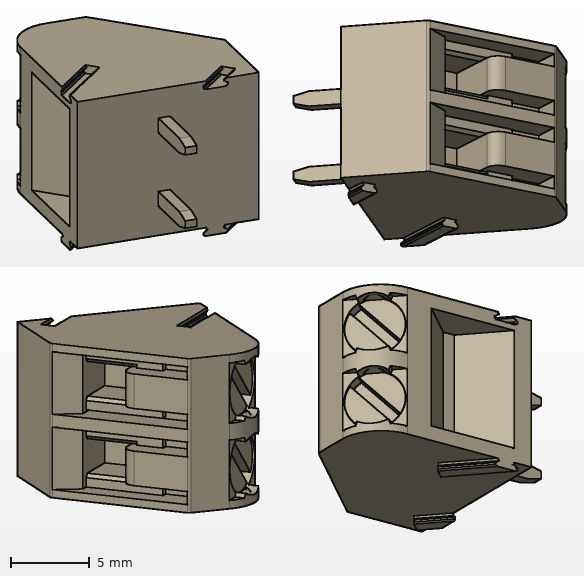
import cadquery as cq
import math


ROOT2 = math.sqrt(2)

side = 12.5
height = 10.17
wire_chamfer = 6.78
corner_radius = 2.95
lip_radius = 0.3

pole_pitch = height / 2
pole_heights = [pole_pitch / 2, 3 * pole_pitch / 2]

screw_window_height = 3.98
screw_radius = screw_window_height / 2
screw_sink = 0.15
slot_width = 0.8
slot_offset = 0.03
slot_depth = 0.82
slot_angle = -45
guide_inner_height = 3.4
guide_root_half = 1.14
guide_tip_half = 1.02
ramp_rise = 0.15
ramp_reach = 0.55

wire_window_height = 4.11
wire_web = 0.85
funnel_run = 1.72
funnel_depth = 0.92
wire_pocket_depth = 1.85
clamp_depth = 1.41
clamp_start = 2.41
clamp_height = 3.98
tongue_width = 2.28
tongue_end = 4.68
tongue_round = 0.85
wire_hole_depth = 4.42
hole_mouth_start = 4.23
hole_mouth_half = 1.38
hole_mouth_depth = 0.24

pocket_left = 4.83
pocket_right = 11.19
pocket_depth = 2.75
pocket_bottom = 1.0
pocket_height = 8.16

pin_root_x = 11.48
pin_tip_x = 17
pin_width = 1.02
pin_thickness = 0.8
pin_y = 5.97
pin_taper = 1.02
pin_tip_width = 0.51

rail_depth = 0.58
rail_mouth_half = 0.48
rail_neck_half = 0.39
rail_neck_depth = 0.15
rail_bulge_half = 0.6
rail_bulge_depth = 0.34
rail_edge = 0.1
rail_starts = [(7.51, 3.08), (11.0, 11.0)]

face_corner_y = side - wire_chamfer
wire_plane = cq.Plane(origin=(0, face_corner_y, 0), xDir=(1, 1, 0), normal=(1, -1, 0))
face_length = wire_chamfer * ROOT2
lip_tangent = lip_radius * math.tan(math.pi / 8)

seat_middle = corner_radius / 2
seat_width = corner_radius * ROOT2
seat_plane = cq.Plane(origin=(seat_middle, seat_middle, 0), xDir=(1, -1, 0), normal=(-1, -1, 0))


def make_housing():
    outline = [
        (0, 0),
        (side, 0),
        (side, side),
        (wire_chamfer, side),
        (0, face_corner_y),
    ]
    block = cq.Workplane("XY").polyline(outline).close().extrude(height)
    block = block.edges(cq.selectors.NearestToPointSelector((0, 0, height / 2))).fillet(corner_radius)
    for corner in [(0, face_corner_y), (wire_chamfer, side)]:
        lip_edge = cq.selectors.NearestToPointSelector((*corner, height / 2))
        block = block.edges(lip_edge).fillet(lip_radius)
    return block


def make_side_pocket():
    outline = [
        (pocket_left, 0),
        (pocket_left + pocket_depth, pocket_depth),
        (pocket_right - pocket_depth, pocket_depth),
        (pocket_right, 0),
    ]
    return cq.Workplane("XY", origin=(0, 0, pocket_bottom)).polyline(outline).close().extrude(pocket_height)


def add_screw(body, envelope, z):
    """Open the rounded corner down to its seat and leave a slotted screw head in it."""
    at_screw = cq.Workplane(seat_plane).center(0, z)
    body = body.cut(at_screw.rect(seat_width, screw_window_height).extrude(seat_width))

    for direction in (1, -1):
        wall = direction * screw_window_height / 2
        tip = direction * guide_inner_height / 2
        guide_outline = [
            (-guide_root_half, wall),
            (guide_root_half, wall),
            (guide_tip_half, tip),
            (-guide_tip_half, tip),
        ]
        guide = at_screw.polyline(guide_outline).close().extrude(seat_width)
        body = body.union(guide.intersect(envelope))

    bore = at_screw.circle(screw_radius).extrude(seat_width)
    head_gap = at_screw.circle(screw_radius).extrude(-screw_sink)
    body = body.cut(bore).cut(head_gap)

    ramp_top = screw_radius - ramp_rise
    ramp_length = 2 * math.sqrt(screw_radius**2 - ramp_top**2)
    ramp_plane = cq.Plane(
        origin=(seat_middle, seat_middle, z), xDir=(-1, -1, 0), normal=(1, -1, 0)
    )
    for direction in (1, -1):
        ramp_outline = [
            (0, direction * ramp_top),
            (ramp_reach, direction * screw_radius),
            (0, direction * screw_radius),
        ]
        ramp = cq.Workplane(ramp_plane).polyline(ramp_outline).close().extrude(ramp_length / 2, both=True)
        body = body.union(ramp.intersect(envelope))

    slot = (
        at_screw.transformed(rotate=(0, 0, slot_angle))
        .center(0, slot_offset)
        .rect(2 * seat_width, slot_width)
        .extrude(-screw_sink - slot_depth)
    )
    slot_limit = at_screw.circle(screw_radius).extrude(-screw_sink - slot_depth)
    return body.cut(slot.intersect(slot_limit))


def wire_prism(outline, z, width):
    """Prism along Z from (u, d) points, centred at height z."""
    section_plane = cq.Plane(
        origin=(0, face_corner_y, z), xDir=(1, 1, 0), normal=(0, 0, -1)
    )
    return cq.Workplane(section_plane).polyline(outline).close().extrude(width / 2, both=True)


def wire_box(u_start, u_end, d_start, d_end, z, width):
    outline = [(u_start, d_start), (u_end, d_start), (u_end, d_end), (u_start, d_end)]
    return wire_prism(outline, z, width)


def add_wire_entry(body, z):
    """Open one funnel in the wire-entry face, with its clamp, tongue and wire hole."""
    towards_middle = math.copysign(1, height / 2 - z)
    window_z = height / 2 - towards_middle * (wire_web + wire_window_height) / 2
    funnel_top = face_length - lip_tangent
    hole_top = funnel_top - funnel_run

    opening = [
        (lip_tangent, 0),
        (funnel_top, 0),
        (hole_top, funnel_depth),
        (hole_top, wire_pocket_depth),
        (lip_tangent, wire_pocket_depth),
    ]
    body = body.cut(wire_prism(opening, window_z, wire_window_height))

    clamp = wire_box(clamp_start, hole_top, clamp_depth, wire_pocket_depth, z, clamp_height)
    body = body.union(clamp)

    mouth_middle = (hole_mouth_start + hole_top) / 2
    mouth_length = hole_top - hole_mouth_start
    mouth = (
        cq.Workplane(wire_plane)
        .workplane(offset=clamp_depth)
        .center(mouth_middle, z)
        .rect(mouth_length, 2 * hole_mouth_half)
        .workplane(offset=hole_mouth_depth)
        .rect(mouth_length, tongue_width)
        .loft(ruled=True)
    )
    hole = wire_box(tongue_end, hole_top, 0, wire_hole_depth, z, tongue_width)
    body = body.cut(mouth).cut(hole)

    tongue = wire_box(lip_tangent, tongue_end, 0, wire_pocket_depth, z, tongue_width)
    tip = wire_plane.toWorldCoords((tongue_end, z, 0))
    tongue = tongue.edges(cq.selectors.NearestToPointSelector(tip.toTuple())).fillet(tongue_round)
    return body.union(tongue)


def make_rail(start, z):
    """Dovetail bar that hangs below height z and runs at 45 degrees from its square end."""
    half_profile = [
        (rail_mouth_half, 0),
        (rail_neck_half, -rail_neck_depth),
        (rail_bulge_half, -rail_bulge_depth),
        (rail_bulge_half, rail_edge - rail_depth),
        (rail_bulge_half - rail_edge, -rail_depth),
    ]
    profile = half_profile + [(-across, down) for across, down in reversed(half_profile)]
    end_plane = cq.Plane(origin=(*start, z), xDir=(1, 1, 0), normal=(1, -1, 0))
    long_enough = side
    return cq.Workplane(end_plane).polyline(profile).close().extrude(long_enough)


def make_pin(z):
    half = pin_width / 2
    tip_half = pin_tip_width / 2
    outline = [
        (pin_root_x, -half),
        (pin_tip_x - pin_taper, -half),
        (pin_tip_x, -tip_half),
        (pin_tip_x, tip_half),
        (pin_tip_x - pin_taper, half),
        (pin_root_x, half),
    ]
    pin = cq.Workplane("XZ", origin=(0, pin_y, z)).polyline(outline).close()
    return pin.extrude(pin_thickness / 2, both=True)


envelope = make_housing()
result = envelope.cut(make_side_pocket())

for pole_z in pole_heights:
    result = add_screw(result, envelope, pole_z)
    result = add_wire_entry(result, pole_z)
    result = result.union(make_pin(pole_z))

footprint = cq.Workplane("XY").box(side, side, 4 * height, centered=(False, False, True))
for rail_start in rail_starts:
    groove = make_rail(rail_start, height)
    rail = make_rail(rail_start, 0).intersect(footprint)
    result = result.cut(groove).union(rail)